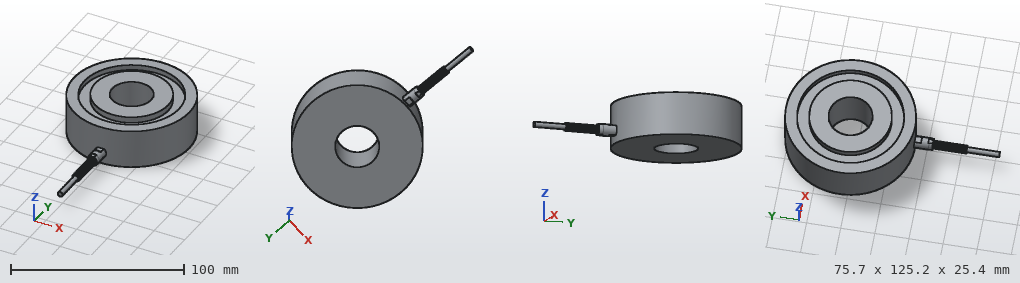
import cadquery as cq

body_diameter = 75.7
body_height = 24.9
total_height = 25.4
bore_diameter = 25.4

recess_outer_diameter = 61.8
boss_diameter = 47.8
recess_depth = 3.4

outlet_z = 7.5
total_length = 125.2
collar_diameter = 7.0
collar_tip_diameter = 6.5
collar_length = 10.5
collar_straight_length = 8.3
rear_flat_length = 3.8
rear_flat_height = 2.9
front_flat_length = 2.6
front_flat_height = 3.1

sleeve_diameter = 4.8
sleeve_length = 19.9
sleeve_valley_diameter = 4.4
ring_count = 46
cable_diameter = 3.3

body_radius = body_diameter / 2
embed_depth = 1.3
cable_length = total_length - body_diameter
collar_radius = collar_diameter / 2
crest_radius = sleeve_diameter / 2
valley_radius = sleeve_valley_diameter / 2
ring_pitch = sleeve_length / ring_count
sleeve_end = collar_length + sleeve_length


def make_body():
    """Ring with an annular recess and a boss slightly proud of the rim."""
    recess_floor = body_height - recess_depth
    ring = cq.Workplane("XY").circle(body_radius).extrude(body_height)
    recess = (
        cq.Workplane("XY", origin=(0, 0, recess_floor))
        .circle(recess_outer_diameter / 2)
        .extrude(recess_depth)
    )
    boss = cq.Workplane("XY").circle(boss_diameter / 2).extrude(total_height)
    bore = cq.Workplane("XY").circle(bore_diameter / 2).extrude(total_height)
    return ring.cut(recess).union(boss).cut(bore)


def outlet_profile():
    """Half section of collar, sleeve and cable: x is the radius, y the distance out from the body."""
    profile = (
        cq.Workplane("XY")
        .moveTo(0, -embed_depth)
        .lineTo(collar_radius, -embed_depth)
        .lineTo(collar_radius, collar_straight_length)
        .lineTo(collar_tip_diameter / 2, collar_length)
        .lineTo(valley_radius, collar_length)
    )
    for index in range(ring_count):
        ring_start = collar_length + index * ring_pitch
        profile = profile.threePointArc(
            (crest_radius, ring_start + ring_pitch / 2), (valley_radius, ring_start + ring_pitch)
        )
    return (
        profile.lineTo(cable_diameter / 2, sleeve_end)
        .lineTo(cable_diameter / 2, cable_length)
        .lineTo(0, cable_length)
        .close()
    )


def flat_cutter(start, length, height, side):
    """Block that mills a wrench flat on the upper (side=1) or lower (side=-1) face of the collar."""
    thickness = collar_radius
    return cq.Workplane("XY").box(collar_diameter, length, thickness).translate(
        (0, start + length / 2, side * (height + thickness / 2))
    )


def make_outlet():
    """Outlet along +Y from its mounting face, then turned to point along -Y out of the body."""
    outlet = outlet_profile().revolve(360, (0, 0, 0), (0, 1, 0))
    front_flat_start = collar_length - front_flat_length
    for side in (1, -1):
        outlet = outlet.cut(
            flat_cutter(-embed_depth, rear_flat_length + embed_depth, rear_flat_height, side)
        )
        outlet = outlet.cut(flat_cutter(front_flat_start, front_flat_length, front_flat_height, side))
    return outlet.rotate((0, 0, 0), (0, 0, 1), 180).translate((0, -body_radius, outlet_z))


result = make_body().union(make_outlet())